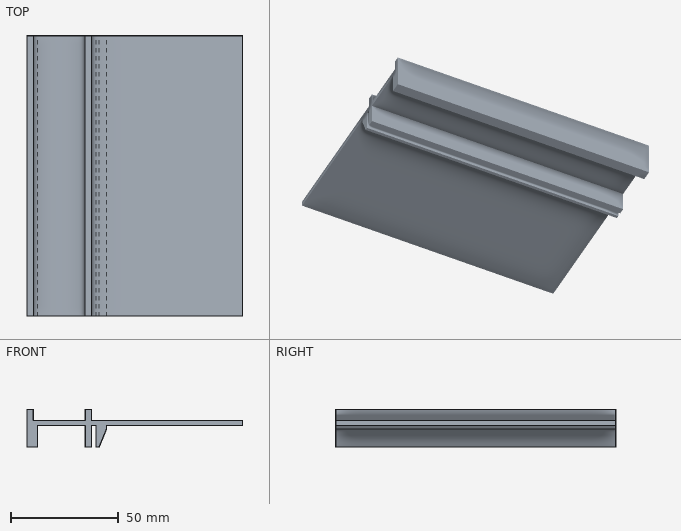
import cadquery as cq

width = 100.0
length = 130.0
height = 17.5

plate_thickness = 2.5
plate_bottom = 10.0
plate_top = plate_bottom + plate_thickness

wall_upper_thickness = 3.0
wall_lower_thickness = 5.0

rib_left = 27.0
rib_thickness = 3.0

tooth_gap = 2.0
tooth_left = rib_left + rib_thickness + tooth_gap
tooth_root_width = 5.0
tooth_tip_width = 1.5
tooth_straight_depth = 1.5


def bar(left, bottom, bar_width, bar_height):
    """Rectangular bar running the full length of the part."""
    return cq.Workplane("XY").box(bar_width, length, bar_height, centered=False).translate((left, 0, bottom))


def make_wall():
    """Edge wall with a thicker lower part."""
    upper = bar(0, 0, wall_upper_thickness, height)
    lower = bar(0, 0, wall_lower_thickness, plate_top)
    return upper.union(lower)


def make_tooth():
    """Tooth with a vertical left face and a right face that slopes in to the tip."""
    root_right = tooth_left + tooth_root_width
    return (
        cq.Workplane("XZ", origin=(0, length, 0))
        .moveTo(tooth_left, 0)
        .lineTo(tooth_left + tooth_tip_width, 0)
        .lineTo(root_right, plate_bottom - tooth_straight_depth)
        .lineTo(root_right, plate_top)
        .lineTo(tooth_left, plate_top)
        .close()
        .extrude(length)
    )


plate = bar(0, plate_bottom, width, plate_thickness)
rib = bar(rib_left, 0, rib_thickness, height)

result = plate.union(make_wall()).union(rib).union(make_tooth()).clean()